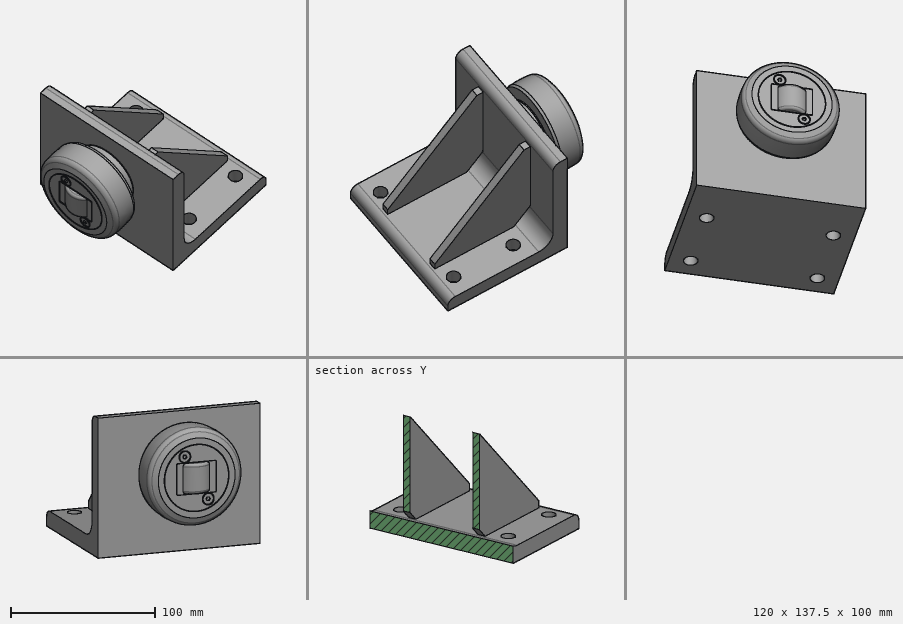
import cadquery as cq
import math

bracket_width = 120.0
leg_length = 100.0
leg_thickness = 12.0
toe_radius = 6.2
inner_radius = 12.0

mount_hole_dia = 10.0
mount_hole_x = 45.0
mount_hole_rows = (35.0, 85.0)

rib_thickness = 5.9
rib_centre_x = 29.0
rib_reach = 91.8
rib_land = 5.2
rib_corner_cut = 13.8

axis_z = 59.8
hub_dia = 48.0
collar_dia = 48.4
inner_collar_thickness = 0.4
outer_collar_thickness = 1.0
hub_length = 10.5
roller_width = 23.4
roller_crown_radius = 35.2
crown_edge_radius = 34.8
roller_back_radius = 34.0
crown_start = 2.0
crown_end = 17.5
shoulder_mid_radius = 34.1
shoulder_mid_height = 20.0
shoulder_radius = 32.5
shoulder_height = 21.5
face_radius = 28.5
face_height = hub_length + roller_width
seam_width = 0.3
seam_depth = 0.4

pocket_width = 29.3
pocket_height = 22.5
pocket_corner_radius = 1.0
guide_length = 21.7
guide_radius = 13.3
guide_width = 19.8
guide_edge_radius = 2.0
overall_length = 137.5
guide_tip = overall_length - leg_length
guide_axis_height = guide_tip - guide_radius
half_guide_width = guide_width / 2
pocket_floor = guide_axis_height + math.sqrt(guide_radius**2 - half_guide_width**2)
pocket_depth = face_height - pocket_floor

screw_dia = 7.8
screw_seat_dia = 8.7
screw_seat_depth = 0.5
screw_x = 8.7
screw_z = 15.7
socket_across_corners = 2.9
socket_depth = 1.1


def outward_plane(height):
    """Plane across the roller axis, facing -Y, at a height above the upright."""
    return cq.Workplane(cq.Plane(origin=(0, -height, axis_z), xDir=(1, 0, 0), normal=(0, -1, 0)))


def along_x(thickness, centre_x=0):
    """Workplane in Y-Z for a section extruded along +X and centred on centre_x."""
    return cq.Workplane("YZ", origin=(centre_x - thickness / 2, 0, 0))


def make_bracket():
    section = (
        along_x(bracket_width)
        .polyline([
            (0, 0),
            (leg_length, 0),
            (leg_length, leg_thickness),
            (leg_thickness, leg_thickness),
            (leg_thickness, leg_length),
            (0, leg_length),
        ])
        .close()
        .extrude(bracket_width)
    )
    toe_corners = [(leg_length, leg_thickness), (leg_thickness, leg_length)]
    for y, z in toe_corners:
        section = section.edges(cq.NearestToPointSelector((0, y, z))).fillet(toe_radius)
    inner_corner = cq.NearestToPointSelector((0, leg_thickness, leg_thickness))
    bracket = section.edges(inner_corner).fillet(inner_radius)
    hole_points = [(x, y) for x in (-mount_hole_x, mount_hole_x) for y in mount_hole_rows]
    holes = cq.Workplane("XY").pushPoints(hole_points).circle(mount_hole_dia / 2).extrude(leg_thickness)
    return bracket.cut(holes)


def make_rib(centre_x):
    land_end = leg_thickness + rib_land
    cut_end = leg_thickness + rib_corner_cut
    return (
        along_x(rib_thickness, centre_x)
        .polyline([
            (cut_end, leg_thickness),
            (rib_reach, leg_thickness),
            (rib_reach, land_end),
            (land_end, rib_reach),
            (leg_thickness, rib_reach),
            (leg_thickness, cut_end),
        ])
        .close()
        .extrude(rib_thickness)
    )


def make_hub():
    hub = outward_plane(0).circle(hub_dia / 2).extrude(hub_length)
    inner_collar = outward_plane(0).circle(collar_dia / 2).extrude(inner_collar_thickness)
    outer_collar = (
        outward_plane(hub_length - outer_collar_thickness)
        .circle(collar_dia / 2)
        .extrude(outer_collar_thickness)
    )
    return hub.union(inner_collar).union(outer_collar)


def make_roller():
    crown_middle = (crown_start + crown_end) / 2
    roller = (
        cq.Workplane(cq.Plane(origin=(0, -hub_length, axis_z), xDir=(1, 0, 0), normal=(0, 0, 1)))
        .moveTo(0, 0)
        .lineTo(roller_back_radius, 0)
        .lineTo(crown_edge_radius, -crown_start)
        .threePointArc((roller_crown_radius, -crown_middle), (crown_edge_radius, -crown_end))
        .threePointArc((shoulder_mid_radius, -shoulder_mid_height), (shoulder_radius, -shoulder_height))
        .lineTo(face_radius, -roller_width)
        .lineTo(0, -roller_width)
        .close()
        .revolve(360, (0, 0, 0), (0, 1, 0))
    )
    seam = (
        outward_plane(face_height - seam_depth)
        .circle(hub_dia / 2)
        .circle(hub_dia / 2 - seam_width)
        .extrude(seam_depth)
    )
    pocket = (
        outward_plane(pocket_floor)
        .rect(pocket_width, pocket_height)
        .extrude(pocket_depth)
        .edges("|Y")
        .fillet(pocket_corner_radius)
    )
    return roller.cut(seam).cut(pocket)


def make_guide_roller():
    guide = (
        cq.Workplane("XY", origin=(0, -guide_axis_height, axis_z - guide_length / 2))
        .circle(guide_radius)
        .extrude(guide_length)
        .edges("%CIRCLE")
        .fillet(guide_edge_radius)
    )
    exposed_zone = (
        outward_plane(pocket_floor)
        .rect(guide_width, guide_length)
        .extrude(guide_tip - pocket_floor)
    )
    return guide.intersect(exposed_zone)


def make_screw_recesses():
    points = [(-screw_x, screw_z), (screw_x, -screw_z)]
    gaps = (
        outward_plane(face_height - screw_seat_depth)
        .pushPoints(points)
        .circle(screw_seat_dia / 2)
        .circle(screw_dia / 2)
        .extrude(screw_seat_depth)
    )
    sockets = (
        outward_plane(face_height - socket_depth)
        .pushPoints(points)
        .polygon(6, socket_across_corners)
        .extrude(socket_depth)
    )
    return gaps.union(sockets)


roller_unit = make_hub().union(make_roller()).cut(make_screw_recesses()).union(make_guide_roller())
result = make_bracket().union(roller_unit)
for rib_x in (-rib_centre_x, rib_centre_x):
    result = result.union(make_rib(rib_x))